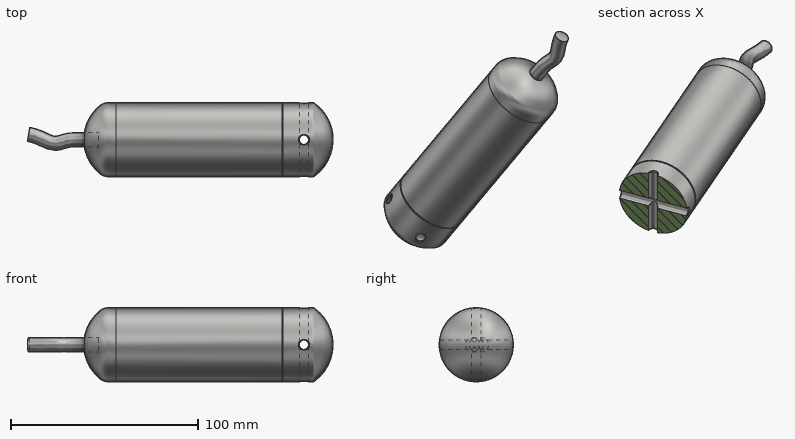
import cadquery as cq
import math

body_radius = 39.7 / 2
total_length = 163.54

front_dome_radius = 23.4
front_blend_radius = 6.4
rear_dome_radius = 24.0
rear_blend_radius = 1.5
rear_tip_x = 133.44

seam_x = 17.4

groove_x = 106.4
groove_width = 0.5
groove_radius = 39.5 / 2

cross_hole_x = 117.8
cross_hole_diameter = 5.0
cross_hole_chamfer = 0.5

cable_radius = 7.6 / 2
cable_hole_mouth_fillet = 1.2
cable_hole_depth = 8.0
cable_bend_start_x = -4.8
cable_sag_x = -15.1
cable_sag_y = -1.9
cable_end_slope = math.radians(9.7)
cable_end_x = rear_tip_x - total_length + cable_radius * math.sin(cable_end_slope)
cable_end_y = 2.9


def dome_outline(tip_x, inward, dome_radius, blend_radius):
    """Half outline from the dome tip on the axis to the body wall. The sphere meets a blend that is
    tangent to it and to the wall. `inward` is the X direction, +1 or -1, from the tip into the body."""
    blend_centre_radius = body_radius - blend_radius
    blend_angle = math.asin(blend_centre_radius / (dome_radius - blend_radius))
    blend_middle_angle = (blend_angle + math.pi / 2) / 2
    sphere_x = tip_x + inward * dome_radius
    blend_x = sphere_x - inward * (dome_radius - blend_radius) * math.cos(blend_angle)

    def arc_point(centre_x, centre_radius, radius, angle):
        return centre_x - inward * radius * math.cos(angle), centre_radius + radius * math.sin(angle)

    return (
        cq.Workplane("XY")
        .moveTo(tip_x, 0)
        .threePointArc(
            arc_point(sphere_x, 0, dome_radius, blend_angle / 2),
            arc_point(sphere_x, 0, dome_radius, blend_angle),
        )
        .threePointArc(
            arc_point(blend_x, blend_centre_radius, blend_radius, blend_middle_angle),
            (blend_x, body_radius),
        )
    )


def close_at_seam_and_revolve(outline):
    """Run the wall to the seam, drop to the axis, and turn the outline about X."""
    return (
        outline.lineTo(seam_x, body_radius)
        .lineTo(seam_x, 0)
        .close()
        .revolve(360, (0, 0, 0), (1, 0, 0))
    )


def make_front_cap():
    outline = dome_outline(0, 1, front_dome_radius, front_blend_radius)
    cap = close_at_seam_and_revolve(outline)
    cable_hole = cq.Workplane("YZ").circle(cable_radius).extrude(cable_hole_depth)
    return cap.cut(cable_hole).edges("<X").fillet(cable_hole_mouth_fillet)


def make_cross_hole_cutter():
    """A hole from the axis up through the body wall, with a chamfered mouth."""
    hole_radius = cross_hole_diameter / 2
    chamfer_bottom_z = body_radius - cross_hole_chamfer
    chamfer_top_z = body_radius + cross_hole_chamfer
    return (
        cq.Workplane("XZ", origin=(cross_hole_x, 0, 0))
        .lineTo(hole_radius, 0)
        .lineTo(hole_radius, chamfer_bottom_z)
        .lineTo(hole_radius + 2 * cross_hole_chamfer, chamfer_top_z)
        .lineTo(0, chamfer_top_z)
        .close()
        .revolve(360, (0, 0, 0), (0, 1, 0))
    )


def make_sleeve():
    groove_front_x = groove_x - groove_width / 2
    groove_rear_x = groove_x + groove_width / 2
    outline = (
        dome_outline(rear_tip_x, -1, rear_dome_radius, rear_blend_radius)
        .lineTo(groove_rear_x, body_radius)
        .lineTo(groove_rear_x, groove_radius)
        .lineTo(groove_front_x, groove_radius)
        .lineTo(groove_front_x, body_radius)
    )
    sleeve = close_at_seam_and_revolve(outline)
    cross_hole = make_cross_hole_cutter()
    for angle in range(0, 360, 90):
        sleeve = sleeve.cut(cross_hole.rotate((0, 0, 0), (1, 0, 0), angle))
    return sleeve


def make_cable():
    end_direction = (-math.cos(cable_end_slope), math.sin(cable_end_slope))
    path = (
        cq.Workplane("XY")
        .moveTo(cable_hole_depth, 0)
        .lineTo(cable_bend_start_x, 0)
        .spline(
            [(cable_sag_x, cable_sag_y), (cable_end_x, cable_end_y)],
            tangents=[(-1, 0), end_direction],
            includeCurrent=True,
        )
    )
    return cq.Workplane("YZ", origin=(cable_hole_depth, 0, 0)).circle(cable_radius).sweep(path)


front_cap = make_front_cap()
sleeve = make_sleeve()
cable = make_cable()

result = cq.Compound.makeCompound([front_cap.val(), sleeve.val(), cable.val()])